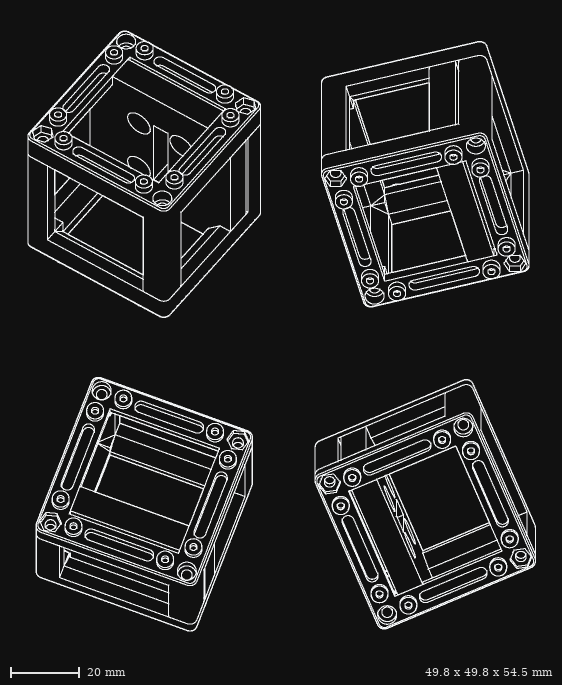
import cadquery as cq
import math

cube_side = 49.8
overall_height = 54.5
bar_width = 7.95
bar_bevel = 4.2
corner_radius = 2.2
face_chamfer = 0.55

screw_inset = 3.75
screw_hole_diameter = 3.1
screw_head_diameter = 5.5
screw_head_depth = 4.05
nut_width = 5.5
nut_depth = 3.0
nut_turn = 75

face_row_inset = 4.3
stud_diameter = 4.95
stud_bore_diameter = 2.05
stud_spacing = 28.45
slot_length = 21.1
slot_width = 3.5
slot_depth = 3.8

plate_thickness = 7.9
plate_back_gap = 1.0
plate_hole_diameter = 8.0
plate_hole_spacing_x = 15.0
plate_hole_spacing_z = 20.0
plate_slot_width = 5.0
plate_slot_height = 24.7
plate_slot_offset = 0.2

half_side = cube_side / 2
window_half = half_side - bar_width
bevel_start = window_half + bar_bevel
screw_offset = half_side - screw_inset
face_row_offset = half_side - face_row_inset
stud_height = (overall_height - cube_side) / 2
plate_back_y = window_half - plate_back_gap
plate_front_y = plate_back_y - plate_thickness

bar_section = [
    (half_side, half_side),
    (window_half, half_side),
    (window_half, bevel_start),
    (bevel_start, window_half),
    (half_side, window_half),
]

quarter_turns = [0, 90, 180, 270]
column_turns = [90, 270]
nut_turns = [0, 180]


def turned(shape, angle):
    """Turn a shape about the vertical axis."""
    return shape.rotate((0, 0, 0), (0, 0, 1), angle)


def square_ring():
    """Four bevelled bars joined by four full corner blocks."""
    bar = cq.Workplane("YZ").polyline(bar_section).close().extrude(window_half, both=True)
    block_centre = half_side - bar_width / 2
    block = cq.Workplane("XY").box(bar_width, bar_width, bar_width)
    block = block.translate((block_centre, block_centre, block_centre))
    ring = bar.union(block)
    for angle in quarter_turns[1:]:
        ring = ring.union(turned(bar, angle)).union(turned(block, angle))
    return ring


def column():
    """Bevelled corner column at (+X, +Y), as tall as a window."""
    return cq.Workplane("XY").polyline(bar_section).close().extrude(window_half, both=True)


def rounded_cube():
    """Outer envelope with rounded upright edges and chamfered top and bottom rims."""
    cube = cq.Workplane("XY").box(cube_side, cube_side, cube_side)
    return cube.edges("|Z").fillet(corner_radius).faces("<Z or >Z").edges().chamfer(face_chamfer)


def corner_hole(diameter, bottom):
    """Round cutter at the (+X, +Y) screw axis, from the given height up through the top."""
    base = cq.Workplane("XY", origin=(screw_offset, screw_offset, bottom))
    return base.circle(diameter / 2).extrude(half_side - bottom)


def nut_pocket():
    """Hexagonal cutter at (+X, +Y), one flat facing the cube's corner."""
    nut = cq.Workplane("XY").polygon(6, nut_width / math.cos(math.pi / 6)).extrude(nut_depth)
    nut = turned(nut, nut_turn)
    return nut.translate((screw_offset, screw_offset, half_side - nut_depth))


def frame_half():
    """Upper half of the frame: a ring with two columns at opposite corners."""
    half = square_ring()
    for angle in column_turns:
        half = half.union(turned(column(), angle))
    half = half.intersect(rounded_cube())

    for angle in quarter_turns:
        half = half.cut(turned(corner_hole(screw_hole_diameter, -half_side), angle))
    for angle in column_turns:
        head_recess = corner_hole(screw_head_diameter, half_side - screw_head_depth)
        half = half.cut(turned(head_recess, angle))
    for angle in nut_turns:
        half = half.cut(turned(nut_pocket(), angle))

    top_row = cq.Workplane("XY", origin=(0, face_row_offset, half_side))
    stud_pair = [(-stud_spacing / 2, 0), (stud_spacing / 2, 0)]
    slot = top_row.slot2D(slot_length, slot_width).extrude(-slot_depth)
    studs = top_row.pushPoints(stud_pair).circle(stud_diameter / 2)
    studs = studs.circle(stud_bore_diameter / 2).extrude(stud_height)
    for angle in quarter_turns:
        half = half.cut(turned(slot, angle)).union(turned(studs, angle))
    return half


def cross_plate():
    """Cross-shaped plate that fills the windows between the bars."""
    front = cq.Workplane("XZ", origin=(0, plate_front_y, 0))
    plate = front.rect(cube_side, cube_side).extrude(-plate_thickness)
    for side_x in (-1, 1):
        for side_z in (-1, 1):
            notch = [(side_x * x, side_z * z) for x, z in bar_section]
            plate = plate.cut(front.polyline(notch).close().extrude(-plate_thickness))
    holes = front.rarray(plate_hole_spacing_x, plate_hole_spacing_z, 2, 2)
    holes = holes.circle(plate_hole_diameter / 2).extrude(-plate_thickness)
    slot = front.center(plate_slot_offset, plate_slot_offset)
    slot = slot.rect(plate_slot_width, plate_slot_height).extrude(-plate_thickness)
    return plate.cut(holes).cut(slot)


upper_half = frame_half()
lower_half = frame_half().rotate((0, 0, 0), (1, 0, 0), 180)
plate = cross_plate()

result = cq.Compound.makeCompound([upper_half.val(), lower_half.val(), plate.val()])